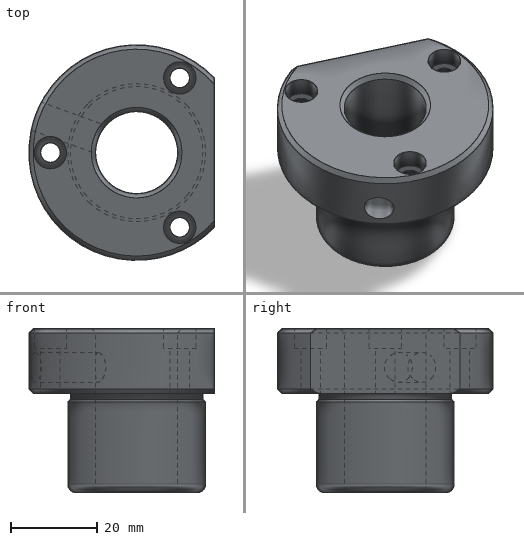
import cadquery as cq
import math

flange_radius = 24.98
flange_height = 15.0
flat_distance = 18.05
flange_chamfer = 1.0

spigot_radius = 16.0
neck_radius = 15.35
neck_height = 1.4
neck_chamfer = spigot_radius - neck_radius
total_height = 38.0
spigot_bottom = flange_height - total_height
spigot_fillet = 2.0

bore_radius = 9.5
bore_chamfer = 1.0

screw_circle_radius = 20.0
screw_count = 3
first_screw_angle = 60.0
screw_diameter = 4.5
head_diameter = 7.5
head_depth = 4.6

port_diameter = 6.9
port_height = 6.0
port_angle = 160.0


def make_flange():
    """Chamfered disc standing on Z = 0, trimmed by the flat."""
    disc = cq.Workplane("XY").circle(flange_radius).extrude(flange_height)
    disc = disc.faces("<Z or >Z").chamfer(flange_chamfer)
    envelope_length = flange_radius + flat_distance
    envelope = cq.Workplane("XY").box(
        envelope_length, 2 * flange_radius, flange_height, centered=(False, True, False)
    )
    return disc.intersect(envelope.translate((-flange_radius, 0, 0)))


def make_spigot():
    """Revolved neck and spigot with a rounded lower edge."""
    profile = (
        cq.Workplane("XZ")
        .lineTo(neck_radius, 0)
        .lineTo(neck_radius, -neck_height)
        .lineTo(spigot_radius, -neck_height - neck_chamfer)
        .lineTo(spigot_radius, spigot_bottom)
        .lineTo(0, spigot_bottom)
        .close()
    )
    return profile.revolve(360, (0, 0), (0, 1)).faces("<Z").edges().fillet(spigot_fillet)


def cut_bore(body):
    """Through bore with a chamfer at the flange face."""
    bore = cq.Workplane("XY", origin=(0, 0, spigot_bottom)).circle(bore_radius).extrude(total_height)
    bore_mouth = (
        cq.Workplane("XY", origin=(0, 0, flange_height - bore_chamfer))
        .circle(bore_radius)
        .workplane(offset=bore_chamfer)
        .circle(bore_radius + bore_chamfer)
        .loft()
    )
    return body.cut(bore).cut(bore_mouth)


def cut_screw_holes(body):
    """Evenly spaced holes, counterbored from the flange face."""
    return (
        body.faces(">Z")
        .workplane(origin=(0, 0, flange_height))
        .polarArray(screw_circle_radius, first_screw_angle, 360, screw_count)
        .cboreHole(screw_diameter, head_diameter, head_depth)
    )


def cut_port(body):
    """Radial hole from the bore axis out through the flange rim."""
    angle = math.radians(port_angle)
    outward = cq.Vector(math.cos(angle), math.sin(angle), 0)
    start = cq.Vector(0, 0, port_height)
    port = cq.Solid.makeCylinder(port_diameter / 2, flange_radius, start, outward)
    return body.cut(cq.Workplane(port))


result = make_flange().union(make_spigot())
result = cut_bore(result)
result = cut_screw_holes(result)
result = cut_port(result)